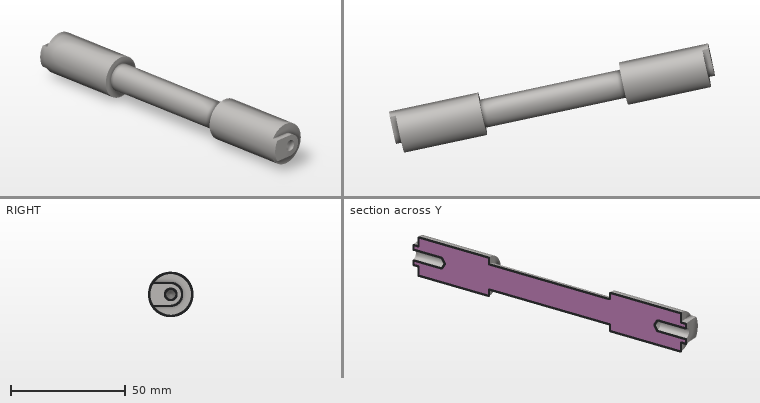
import cadquery as cq
import math

total_length = 142.8
head_diameter = 19.0
head_length = 37.1
shaft_diameter = 12.5
tongue_length = 2.7
tongue_width = 10.0
hole_diameter = 5.0
hole_depth = 15.0
drill_angle = 118.0

half_length = total_length / 2
shoulder_x = half_length - tongue_length
head_inner_x = shoulder_x - head_length
head_radius = head_diameter / 2
hole_radius = hole_diameter / 2
drill_tip_length = hole_radius / math.tan(math.radians(drill_angle / 2))


def rod(diameter, start_x, end_x):
    """Round bar along X."""
    return cq.Workplane("YZ", origin=(start_x, 0, 0)).circle(diameter / 2).extrude(end_x - start_x)


def tongue():
    """End key: rounded on +Y, running out to the head surface on -Y."""
    half_width = tongue_width / 2
    profile = (
        cq.Workplane("YZ", origin=(shoulder_x, 0, 0))
        .moveTo(-head_radius, -half_width)
        .lineTo(0, -half_width)
        .threePointArc((half_width, 0), (0, half_width))
        .lineTo(-head_radius, half_width)
        .close()
    )
    return profile.extrude(tongue_length).intersect(rod(head_diameter, shoulder_x, half_length))


def blind_hole():
    """Drilled hole on the axis, entering at the +X end face, with a conical bottom."""
    hole_bottom_x = half_length - hole_depth
    return (
        cq.Workplane("XY")
        .moveTo(half_length, 0)
        .lineTo(half_length, hole_radius)
        .lineTo(hole_bottom_x, hole_radius)
        .lineTo(hole_bottom_x - drill_tip_length, 0)
        .close()
        .revolve(360, (0, 0, 0), (1, 0, 0))
    )


end = rod(head_diameter, head_inner_x, shoulder_x).union(tongue()).cut(blind_hole())
shaft = rod(shaft_diameter, -head_inner_x, head_inner_x)
result = shaft.union(end).union(end.mirror("YZ"))